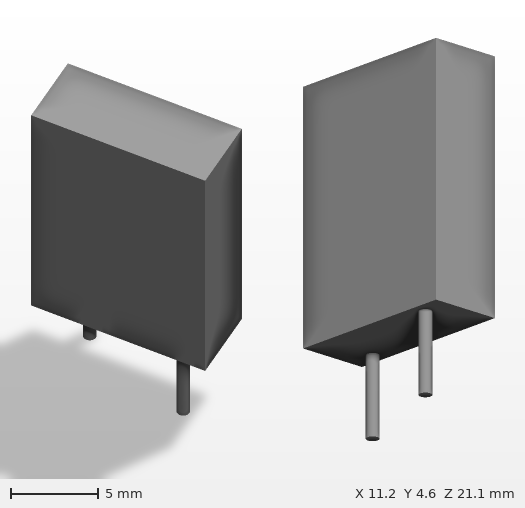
import cadquery as cq

total_height = 21.1
body_length = 11.25
body_depth = 4.6
body_height = 16.0

pin_diameter = 0.8
pin_spacing_x = 7.5
pin_spacing_y = 2.8
pin_length = total_height - body_height


def make_body():
    """Plain rectangular block standing on the XY plane."""
    return cq.Workplane("XY").box(body_length, body_depth, body_height, centered=(True, True, False))


def make_pin(x, y):
    """Round pin hanging down from the underside of the body."""
    return cq.Workplane("XY").center(x, y).circle(pin_diameter / 2).extrude(-pin_length)


body = make_body()

pins = []
for side in (-1, 1):
    pin = make_pin(side * pin_spacing_x / 2, -side * pin_spacing_y / 2)
    pins.append(pin.val())

result = cq.Compound.makeCompound([body.val(), *pins])